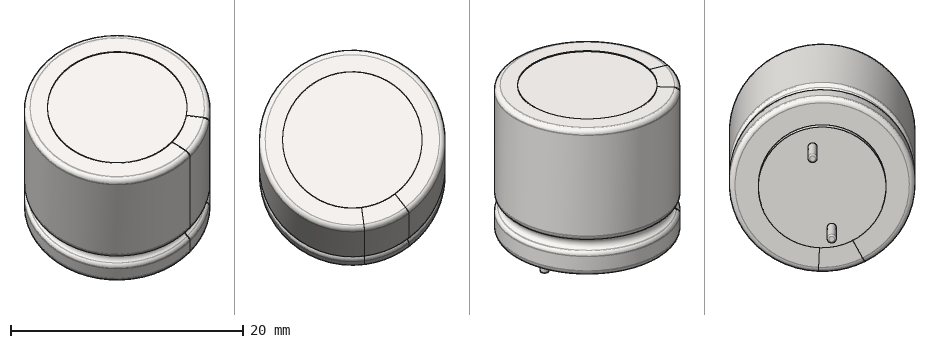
import cadquery as cq
import math


sleeve_diameter = 16.0
sleeve_thickness = 0.099
sleeve_bottom = 0.6
sleeve_top = 15.0
rim_radius = 0.5
window_diameter = 12.0

groove_height = 3.53
groove_depth = 0.63
groove_radius = 0.6
groove_blend_radius = 0.5

stripe_angle = 30.0

base_diameter = 11.0

lead_diameter = 0.8
lead_length = 3.0
lead_spacing = 7.5
lead_tip_radius = 0.15


def arc_point(center, radius, degrees):
    """Point on an arc in the radius-height plane, measured from the outward direction."""
    angle = math.radians(degrees)
    return (center[0] + radius * math.cos(angle), center[1] + radius * math.sin(angle))


def grooved_cylinder(inset):
    """Solid with rounded rims and a crimp groove, set in from the sleeve's outer surface."""
    wall = sleeve_diameter / 2 - inset
    bottom = sleeve_bottom + inset
    top = sleeve_top - inset
    rim = rim_radius - inset
    blend = groove_blend_radius - inset
    hollow = groove_radius + inset

    center_distance = blend + hollow
    meet_angle = math.degrees(math.acos(1 - groove_depth / center_distance))
    blend_offset = center_distance * math.sin(math.radians(meet_angle))
    blend_axis = wall - blend
    low_center = (blend_axis, groove_height - blend_offset)
    high_center = (blend_axis, groove_height + blend_offset)
    low_rim_center = (wall - rim, bottom + rim)
    high_rim_center = (wall - rim, top - rim)

    profile = (
        cq.Workplane("XZ")
        .moveTo(0, bottom)
        .lineTo(wall - rim, bottom)
        .threePointArc(arc_point(low_rim_center, rim, -45), (wall, bottom + rim))
        .lineTo(*arc_point(low_center, blend, 0))
        .threePointArc(arc_point(low_center, blend, meet_angle / 2), arc_point(low_center, blend, meet_angle))
        .threePointArc((wall - groove_depth, groove_height), arc_point(high_center, blend, -meet_angle))
        .threePointArc(arc_point(high_center, blend, -meet_angle / 2), arc_point(high_center, blend, 0))
        .lineTo(wall, top - rim)
        .threePointArc(arc_point(high_rim_center, rim, 45), (wall - rim, top))
        .lineTo(0, top)
        .close()
    )
    return profile.revolve(360, (0, 0, 0), (0, 1, 0))


def make_wrap():
    """Full sleeve with a round window on top and a bottom opening for the base plug."""
    middle = (sleeve_bottom + sleeve_top) / 2
    window = cq.Workplane("XY").workplane(offset=middle).circle(window_diameter / 2).extrude(middle)
    base_opening = cq.Workplane("XY").circle(base_diameter / 2).extrude(middle)
    return grooved_cylinder(0).cut(make_can()).cut(window).cut(base_opening)


def make_stripe_sector():
    """Wedge from the axis that separates the stripe from the rest of the wrap."""
    reach = sleeve_diameter
    half_width = reach * math.tan(math.radians(stripe_angle / 2))
    corners = [(0, 0), (reach, -half_width), (reach, half_width)]
    return cq.Workplane("XY").polyline(corners).close().extrude(sleeve_top)


def make_can():
    return grooved_cylinder(sleeve_thickness)


def make_sleeve():
    return make_wrap().cut(make_stripe_sector())


def make_stripe():
    return make_wrap().intersect(make_stripe_sector())


def make_base():
    """Plug reaching from the seating plane to the underside of the can."""
    return cq.Workplane("XY").circle(base_diameter / 2).extrude(sleeve_bottom + sleeve_thickness)


def make_lead(x):
    """Round lead hanging from the base, with a rounded tip."""
    lead = cq.Workplane("XY").center(x, 0).circle(lead_diameter / 2).extrude(-lead_length)
    return lead.faces("<Z").edges().fillet(lead_tip_radius)


can = make_can()
sleeve = make_sleeve()
stripe = make_stripe()
base = make_base()
leads = [make_lead(side * lead_spacing / 2) for side in (-1, 1)]

result = cq.Compound.makeCompound(
    [
        can.val(),
        sleeve.solids().val(),
        stripe.solids().val(),
        base.val(),
        *[lead.solids().val() for lead in leads],
    ]
)